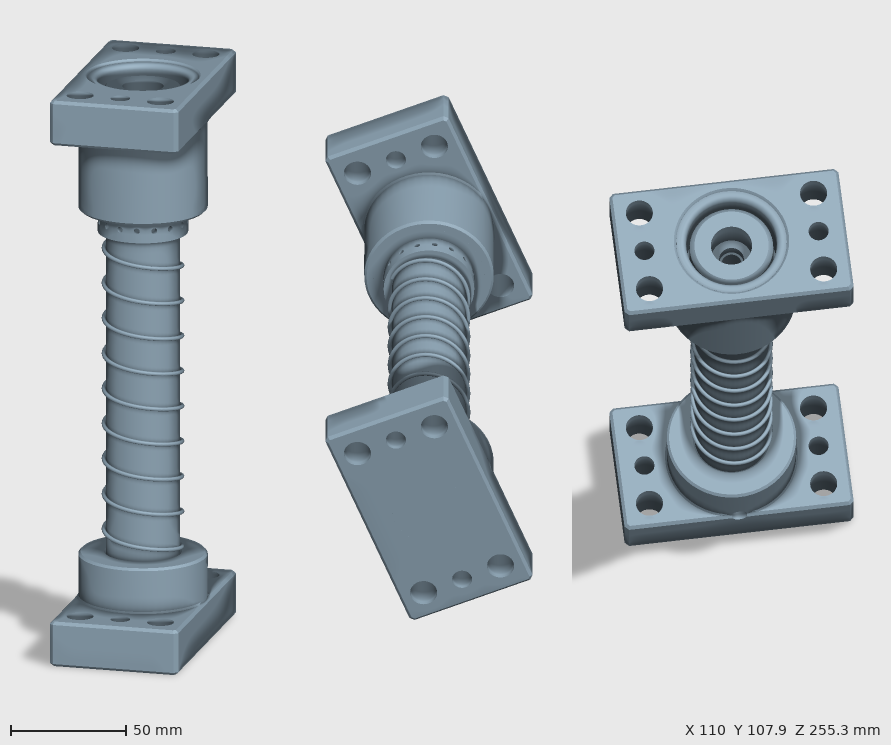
import cadquery as cq
import math

total_height = 255.3
plate_angle = -43.0
plate_length = 100.0
plate_width = 57.7
plate_thickness = 20.2
corner_chamfer = 1.8
edge_chamfer = 1.3
boss_radius = 28.0
upper_boss_height = 40.0
lower_boss_height = 20.2
boss_chamfer = 1.0
boss_foot_size = 0.8
pillar_bore_chamfer = 0.8

mount_spacing_long = 76.0
mount_spacing_short = 36.0
screw_hole_radius = 5.9
dowel_hole_radius = 4.3

radial_hole_radius = 3.3

bush_outer_radius = 24.0
bush_bore_radius = 19.7
bush_mouth_fillet = 2.3
bush_recess = 1.0

pillar_radius = 16.0
thread_hole_radius = 4.3
thread_hole_depth = 20.5
drill_point_angle = 118.0
cap_radius = 18.0
cap_recess = 5.0
cap_thickness = 20.0
cap_chamfer = 2.0
cap_bore_radius = 9.0
cap_bore_depth = 15.0
cap_screw_radius = 5.4

cage_exposed_length = 10.2
cage_hole_count = 16
cage_hole_radius = 1.3
cage_hole_drop = 4.8
cage_hole_start_angle = -81.0

wire_radius = 0.9
coil_turns = 9
coil_clearance = 0.05

upper_plate_bottom = total_height - plate_thickness
upper_boss_bottom = upper_plate_bottom - upper_boss_height
lower_boss_top = plate_thickness + lower_boss_height
bush_top = total_height - bush_recess
cap_top = total_height - cap_recess
pillar_top = cap_top - cap_thickness
cage_bottom = upper_boss_bottom - cage_exposed_length
coil_radius = pillar_radius + wire_radius + coil_clearance


def cylinder(radius, bottom, top):
    return cq.Workplane("XY").workplane(offset=bottom).circle(radius).extrude(top - bottom)


def cone(bottom_radius, top_radius, bottom, top):
    base = cq.Vector(0, 0, bottom)
    return cq.Workplane(cq.Solid.makeCone(bottom_radius, top_radius, top - bottom, pnt=base))


def mounting_plate():
    """Plate standing on Z = 0, with its long side along X."""
    plate = (
        cq.Workplane("XY")
        .rect(plate_length, plate_width)
        .extrude(plate_thickness)
        .edges("|Z")
        .chamfer(corner_chamfer)
        .faces("<Z or >Z")
        .chamfer(edge_chamfer)
    )
    screw_holes = (
        cq.Workplane("XY")
        .rect(mount_spacing_long, mount_spacing_short, forConstruction=True)
        .vertices()
        .circle(screw_hole_radius)
        .extrude(plate_thickness)
    )
    dowel_holes = (
        cq.Workplane("XY")
        .pushPoints([(-mount_spacing_long / 2, 0), (mount_spacing_long / 2, 0)])
        .circle(dowel_hole_radius)
        .extrude(plate_thickness)
    )
    return plate.cut(screw_holes).cut(dowel_holes)


def turned(body):
    """Turn a body about Z to the angle of the plates."""
    return body.rotate((0, 0, 0), (0, 0, 1), plate_angle)


def boss_foot(plate_face, direction):
    """Small conical flare round a boss, trimmed to the flat face of its plate."""
    flare = cq.Solid.makeCone(
        boss_radius + boss_foot_size,
        boss_radius,
        boss_foot_size,
        pnt=cq.Vector(0, 0, plate_face),
        dir=cq.Vector(0, 0, direction),
    )
    flat_face = cq.Workplane("XY").workplane(offset=plate_face).rect(
        plate_length - 2 * edge_chamfer, plate_width - 2 * edge_chamfer
    )
    return flat_face.extrude(direction * boss_foot_size).intersect(cq.Workplane(flare))


def make_upper_holder():
    boss = cylinder(boss_radius, upper_boss_bottom, upper_plate_bottom + edge_chamfer)
    boss = boss.faces("<Z").chamfer(boss_chamfer)
    holder = mounting_plate().translate((0, 0, upper_plate_bottom)).union(boss)
    holder = holder.union(boss_foot(upper_plate_bottom, -1))
    holder = holder.cut(cylinder(bush_outer_radius, upper_boss_bottom, total_height))
    mouth_radius = bush_outer_radius + bush_recess
    holder = holder.cut(cone(bush_outer_radius, mouth_radius, bush_top, total_height))
    return turned(holder)


def make_lower_holder():
    boss = cylinder(boss_radius, plate_thickness - edge_chamfer, lower_boss_top)
    boss = boss.faces(">Z").chamfer(boss_chamfer)
    holder = mounting_plate().union(boss)
    holder = holder.union(boss_foot(plate_thickness, 1))
    holder = holder.cut(cylinder(pillar_radius, 0, lower_boss_top))
    mouth_radius = pillar_radius + pillar_bore_chamfer
    mouth_bottom = lower_boss_top - pillar_bore_chamfer
    holder = holder.cut(cone(pillar_radius, mouth_radius, mouth_bottom, lower_boss_top))
    radial_hole = (
        cq.Workplane("XZ")
        .center(0, plate_thickness)
        .circle(radial_hole_radius)
        .extrude(plate_width / 2)
    )
    return turned(holder.cut(radial_hole))


def make_bush():
    bush = cylinder(bush_outer_radius, upper_boss_bottom, bush_top)
    bush = bush.cut(cylinder(bush_bore_radius, upper_boss_bottom, bush_top))
    return bush.faces(">Z").edges(cq.selectors.RadiusNthSelector(0)).fillet(bush_mouth_fillet)


def make_cap():
    cap = cylinder(cap_radius, pillar_top, cap_top).faces(">Z").chamfer(cap_chamfer)
    cap = cap.cut(cylinder(cap_bore_radius, cap_top - cap_bore_depth, cap_top))
    return cap.cut(cylinder(cap_screw_radius, pillar_top, cap_top))


def make_pillar():
    """Round pillar with a blind hole, ending in a drill point, in its top."""
    pillar = cylinder(pillar_radius, 0, pillar_top)
    hole_bottom = pillar_top - thread_hole_depth
    drill_point = thread_hole_radius / math.tan(math.radians(drill_point_angle / 2))
    pillar = pillar.cut(cylinder(thread_hole_radius, hole_bottom, pillar_top))
    return pillar.cut(cone(0, thread_hole_radius, hole_bottom - drill_point, hole_bottom))


def make_cage():
    """Tube between pillar and bush, with a ring of radial holes below the bush."""
    cage = cylinder(bush_bore_radius, cage_bottom, pillar_top)
    cage = cage.cut(cylinder(pillar_radius, cage_bottom, pillar_top))
    ball_hole = (
        cq.Workplane("YZ")
        .center(0, upper_boss_bottom - cage_hole_drop)
        .circle(cage_hole_radius)
        .extrude(bush_bore_radius + cage_hole_radius)
    )
    for index in range(cage_hole_count):
        angle = cage_hole_start_angle + index * 360 / cage_hole_count
        cage = cage.cut(ball_hole.rotate((0, 0, 0), (0, 0, 1), angle))
    return cage


def make_spring():
    """Left-hand coil spring between the lower boss and the cage, ending on the +Y side."""
    coil_bottom = lower_boss_top + wire_radius
    coil_rise = cage_bottom - wire_radius - coil_bottom
    helix = cq.Wire.makeHelix(coil_rise / coil_turns, coil_rise, coil_radius, lefthand=True)
    wire = cq.Workplane("XZ").center(coil_radius, 0).circle(wire_radius)
    spring = wire.sweep(cq.Workplane(helix), isFrenet=True)
    return spring.rotate((0, 0, 0), (0, 0, 1), 90).translate((0, 0, coil_bottom))


lower_holder = make_lower_holder()
pillar = make_pillar()
spring = make_spring()
cage = make_cage()
bush = make_bush()
upper_holder = make_upper_holder()
cap = make_cap()

result = cq.Compound.makeCompound(
    [
        lower_holder.val(),
        pillar.val(),
        spring.val(),
        cage.val(),
        bush.val(),
        upper_holder.val(),
        cap.val(),
    ]
)